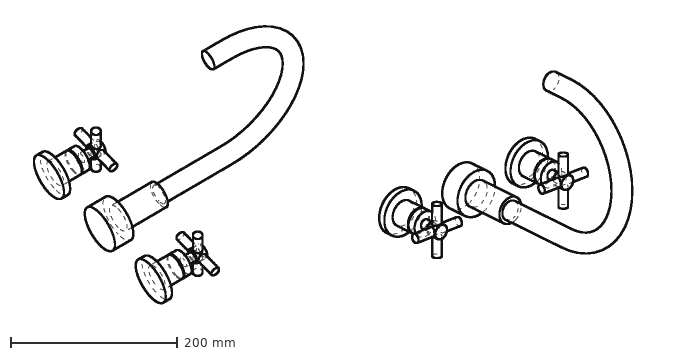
import cadquery as cq


base_diameter = 60.6
base_length = 27.94
collar_diameter = 35.2
collar_end = 89.4
tube_diameter = 25.4
bend_start = 191.52
bend_radius = 100.0125
outlet_length = 28.2

handle_spacing = 203.2
flange_diameter = 60.325
flange_thickness = 9.525
body_diameter = 33.6
body_end = 49.2125
groove_start = 37.0
groove_width = 1.27
groove_depth = 0.2
stem_diameter = 12.7
hub_diameter = 19.05
hub_start = 63.3
hub_length = 15.24
bar_diameter = 11.9
bar_length = 69.85


def rod(diameter, start, end):
    """Cylinder on the Y axis reaching from Y = start to Y = end."""
    wall = cq.Workplane("XZ", origin=(0, start, 0))
    return wall.circle(diameter / 2).extrude(start - end)


def make_spout():
    base = rod(base_diameter, 0, base_length)
    collar = rod(collar_diameter, base_length, collar_end)

    outlet_height = 2 * bend_radius
    tube_path = (
        cq.Workplane("YZ")
        .moveTo(collar_end, 0)
        .lineTo(bend_start, 0)
        .threePointArc((bend_start + bend_radius, bend_radius), (bend_start, outlet_height))
        .lineTo(bend_start - outlet_length, outlet_height)
    )
    tube_section = cq.Workplane("XZ", origin=(0, collar_end, 0)).circle(tube_diameter / 2)
    tube = tube_section.sweep(tube_path)
    return base.union(collar).union(tube)


def make_cross_bar(plane):
    """Round bar square to the given plane, centred on the middle of the hub."""
    hub_middle = (0, hub_start + hub_length / 2, 0)
    section = cq.Workplane(plane, origin=hub_middle).circle(bar_diameter / 2)
    return section.extrude(bar_length / 2, both=True)


def make_handle():
    groove_end = groove_start + groove_width
    hub_end = hub_start + hub_length

    handle = rod(flange_diameter, 0, flange_thickness)
    handle = handle.union(rod(body_diameter, flange_thickness, groove_start))
    handle = handle.union(rod(body_diameter - 2 * groove_depth, groove_start, groove_end))
    handle = handle.union(rod(body_diameter, groove_end, body_end))
    handle = handle.union(rod(stem_diameter, body_end, hub_start))
    handle = handle.union(rod(hub_diameter, hub_start, hub_end))
    for plane in ("YZ", "XY"):
        handle = handle.union(make_cross_bar(plane))
    return handle


spout = make_spout()
handles = []
for side in (-1, 1):
    handles.append(make_handle().translate((side * handle_spacing / 2, 0, 0)))

result = cq.Compound.makeCompound([spout.val(), *[handle.val() for handle in handles]])